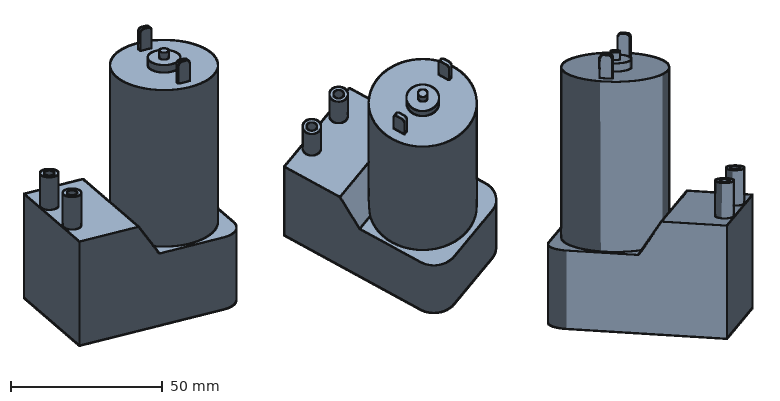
import cadquery as cq

housing_width = 38.5
housing_length = 62.0
housing_height = 38.8
ledge_height = 26.9
slope_top_y = 22.1
slope_bottom_y = 29.9
rear_corner_radius = 8.0

motor_diameter = 35.6
motor_y = 42.0
motor_top = 85.1
boss_diameter = 10.8
boss_top = 87.9
shaft_diameter = 3.2
shaft_top = 90.5

terminal_spacing = 26.4
terminal_thickness = 1.6
terminal_width = 4.2
terminal_top = 93
terminal_corner_radius = 1.3

port_spacing = 15.8
port_y = 3.35
port_diameter = 6.1
port_bore = 3.4
port_top = 50.9
port_height = port_top - housing_height


def make_housing():
    """Block with a sloped step down to the motor ledge and rounded rear corners."""
    side_profile = [
        (0, 0),
        (housing_length, 0),
        (housing_length, ledge_height),
        (slope_bottom_y, ledge_height),
        (slope_top_y, housing_height),
        (0, housing_height),
    ]
    block = cq.Workplane("YZ").polyline(side_profile).close().extrude(housing_width / 2, both=True)
    return block.edges("|Z and >Y").fillet(rear_corner_radius)


def motor_cylinder(diameter, bottom, top):
    """Cylinder on the motor axis between two heights."""
    return (
        cq.Workplane("XY", origin=(0, motor_y, bottom))
        .circle(diameter / 2)
        .extrude(top - bottom)
    )


def make_terminal(x):
    """Flat upright tab with rounded upper corners."""
    return (
        cq.Workplane("XY", origin=(x, motor_y, motor_top))
        .rect(terminal_thickness, terminal_width)
        .extrude(terminal_top - motor_top)
        .edges("|X and >Z")
        .fillet(terminal_corner_radius)
    )


def make_port(x):
    """Tubular hose port, bored down to the housing top."""
    return (
        cq.Workplane("XY", origin=(x, port_y, housing_height))
        .circle(port_diameter / 2)
        .circle(port_bore / 2)
        .extrude(port_height)
    )


result = make_housing()
result = result.union(motor_cylinder(motor_diameter, ledge_height, motor_top))
result = result.union(motor_cylinder(boss_diameter, motor_top, boss_top))
result = result.union(motor_cylinder(shaft_diameter, boss_top, shaft_top))
for side in (-1, 1):
    result = result.union(make_terminal(side * terminal_spacing / 2))
    result = result.union(make_port(side * port_spacing / 2))